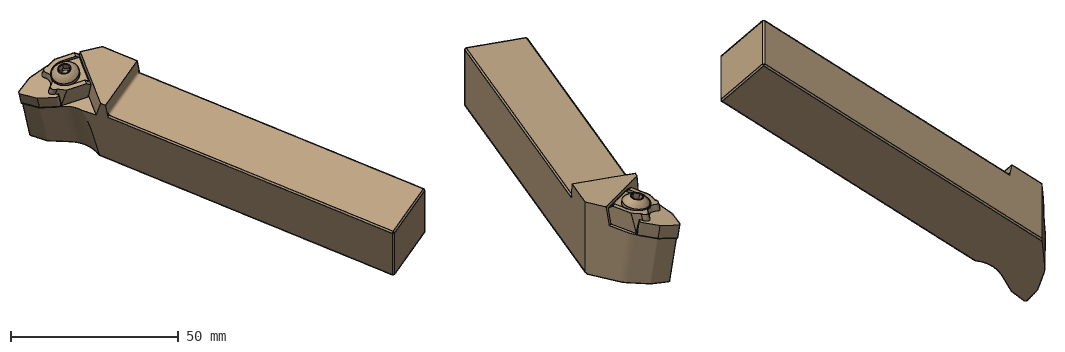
import cadquery as cq
import math

total_length = 124.9
shank_width = 20.0
shank_height = 20.0
shank_chamfer = 0.5
head_height = 24.5
head_length = 27.1
step_lean = 10.0
step_fillet = 1.0

inscribed_radius = 4.7
insert_thickness = 4.7
nose_half_angle = 40.0
nose_radius = 0.7
bend_half_turn = 10.0
nose_sine = math.sin(math.radians(nose_half_angle))
tip_reach = inscribed_radius / nose_sine
bend_reach = inscribed_radius / math.cos(math.radians(bend_half_turn))

rake = 6.0
seat_height = 16.5
nose_overhang = 4.9
rake_slope = math.tan(math.radians(rake))
directions = cq.Plane(origin=(0, 0, 0), xDir=(1, -1, 0), normal=(-rake_slope, -rake_slope, 1))
nose_centre = directions.toWorldCoords((0, nose_radius / nose_sine - tip_reach, insert_thickness))
nose_spread = nose_radius * math.hypot(directions.xDir.x, directions.yDir.x)
seat = cq.Plane(
    origin=(nose_spread - nose_centre.x, nose_spread - nose_centre.y - nose_overhang, seat_height),
    xDir=directions.xDir,
    normal=directions.zDir,
)
side_plane = cq.Plane(origin=seat.origin, xDir=seat.yDir, normal=seat.xDir)
wall_start = 12.6
wall_lean = 18.4
far = 187.4

support_inset = 0.2
bend_radius = 1.0
flank_angle = 2 * bend_half_turn
clamp_half_width = 6.4
left_side = 6.7
left_blend_radius = 6.2
relief_radius = 10.0
relief_turn = 80.0
nose_block_length = 17.5

clamp_top = 6.7
clamp_gap = 0.5
heel_front = 4.0
heel_back_bottom = 12.4
heel_back_top = 14.0
heel_back_height = 5.5
top_back = 12.7
outline_lean = 23.7
lobe_radius = 1.4
notch_radius = 3.5
notch_bottom = 3.5
cheek_front = 3.6
cheek_back = 6.0
recess_half_width = 4.9
recess_tilt = 2.4
recess_length = 8.1
recess_centre = 8.4
recess_depth = 0.7

screw_y = 8.0
screw_head_radius = 4.2
screw_top_radius = 2.0
screw_rim = 7.0
screw_top = 8.9
shaft_radius = 2.44
shaft_depth = 2.5
socket_width = 3.2
socket_depth = 2.0
socket_point_radius = 1.1
socket_point_depth = 0.5


def polar(radius, degrees):
    angle = math.radians(degrees)
    return (radius * math.cos(angle), radius * math.sin(angle))


def round_corner(prism, corner, radius):
    """Round the prism edge that runs along the seat normal through a corner of its outline."""
    picked = seat.toWorldCoords((*corner, 0))
    along_normal = prism.edges(cq.selectors.ParallelDirSelector(seat.zDir))
    return along_normal.edges(cq.selectors.NearestToPointSelector(picked.toTuple())).fillet(radius)


def make_insert():
    """Trigon plate: three rounded tips with a shallow bend between each pair."""
    tips = [polar(tip_reach, angle) for angle in (-90, 30, 150)]
    bends = [polar(bend_reach, angle) for angle in (-30, 90, 210)]
    outline = [point for pair in zip(tips, bends) for point in pair]
    plate = cq.Workplane(seat).polyline(outline).close().extrude(insert_thickness)
    for tip in tips:
        plate = round_corner(plate, tip, nose_radius)
    return plate


def make_shank_and_head():
    """Chamfered shank, taller head with a filleted step, and a block that holds the nose support."""
    shank = cq.Workplane().box(total_length, shank_width, shank_height, centered=False)
    shank = shank.edges("|X or >X").chamfer(shank_chamfer)

    lean = math.radians(step_lean)
    step_foot = head_length + (head_height - shank_height) * math.tan(lean)
    head = (
        cq.Workplane("XZ")
        .polyline([
            (0, shank_chamfer), (0, head_height), (head_length, head_height),
            (step_foot, shank_height), (step_foot, shank_height / 2), (step_foot / 2, shank_chamfer),
        ])
        .close()
        .extrude(-shank_width)
    )

    setback = step_fillet * math.tan((math.pi / 2 - lean) / 2)
    fillet_top = (step_foot - setback * math.sin(lean), shank_height + setback * math.cos(lean))
    fillet = (
        cq.Workplane("XZ", origin=(0, shank_chamfer, 0))
        .moveTo(step_foot, shank_height - shank_chamfer)
        .lineTo(step_foot - setback, shank_height)
        .lineTo(*fillet_top)
        .radiusArc((step_foot + setback, shank_height), -step_fillet)
        .lineTo(step_foot + setback, shank_height - shank_chamfer)
        .close()
        .extrude(-(shank_width - 2 * shank_chamfer))
    )
    nose_block = cq.Workplane().box(nose_block_length, shank_width, head_height, centered=False)
    nose_block = nose_block.translate((0, -shank_width / 2, 0))
    return shank.union(head).union(fillet).union(nose_block)


def make_side_envelope():
    """Prism along the seat normal that trims the head to the support, its relief and slanted side."""
    support_scale = 1 - support_inset / inscribed_radius
    front_tip = polar(support_scale * tip_reach, -90)
    right_bend = polar(support_scale * bend_reach, -30)
    left_bend = polar(support_scale * bend_reach, 210)
    flank_slope = math.tan(math.radians(flank_angle))
    relief_start = (
        clamp_half_width,
        right_bend[1] + (clamp_half_width - right_bend[0]) / flank_slope,
    )
    left_corner = (-left_side, left_bend[1] + (left_side + left_bend[0]) / flank_slope)
    centre_step = polar(relief_radius, -flank_angle)
    relief_centre = (relief_start[0] + centre_step[0], relief_start[1] + centre_step[1])

    def on_relief(turn):
        step = polar(relief_radius, 180 - flank_angle - turn)
        return (relief_centre[0] + step[0], relief_centre[1] + step[1])

    relief_end = on_relief(relief_turn)
    envelope = (
        cq.Workplane(seat)
        .moveTo(*front_tip)
        .lineTo(*right_bend)
        .lineTo(*relief_start)
        .threePointArc(on_relief(relief_turn / 2), relief_end)
        .lineTo(far, relief_end[1])
        .lineTo(far, far)
        .lineTo(-left_side, far)
        .lineTo(*left_corner)
        .lineTo(*left_bend)
        .close()
        .extrude(far / 2, both=True)
    )
    for corner, radius in (
        (front_tip, nose_radius),
        (right_bend, bend_radius),
        (left_bend, bend_radius),
        (left_corner, left_blend_radius),
    ):
        envelope = round_corner(envelope, corner, radius)
    return envelope


def make_seat_cutter():
    """Space above the seat floor and in front of the leaning wall."""
    height = head_height
    wall_top = wall_start + height * math.tan(math.radians(wall_lean))
    return (
        cq.Workplane(side_plane)
        .polyline([(-far, 0), (wall_start, 0), (wall_top, height), (-far, height)])
        .close()
        .extrude(far / 2, both=True)
    )


def make_clamp_profile():
    """Side profile of the clamp: a jaw over the insert and a heel down to just above the seat."""
    return (
        cq.Workplane(side_plane)
        .polyline([
            (0, insert_thickness), (heel_front, insert_thickness), (heel_front, clamp_gap),
            (heel_back_bottom, clamp_gap), (heel_back_top, heel_back_height),
            (top_back, clamp_top), (0, clamp_top),
        ])
        .close()
        .extrude(clamp_half_width, both=True)
    )


def make_clamp_outline():
    """Plan of the clamp: two round lobes with a round notch between them, widened by the cheeks."""
    notch_y = notch_bottom - notch_radius
    joint_slant = math.sqrt(0.5)
    joint = (joint_slant * notch_radius, notch_y + joint_slant * notch_radius)
    lobe_offset = joint_slant * (notch_radius + lobe_radius)
    lobe_y = notch_y + lobe_offset
    lobe_front = lobe_y - lobe_radius
    lobe_side = lobe_offset + lobe_radius
    leaning_plane = cq.Plane(
        origin=seat.toWorldCoords((0, 0, clamp_top)), xDir=seat.xDir, normal=seat.zDir
    ).rotated((-outline_lean, 0, 0))
    return (
        cq.Workplane(leaning_plane)
        .moveTo(-clamp_half_width, far)
        .lineTo(-clamp_half_width, cheek_back)
        .lineTo(-lobe_side, cheek_front)
        .lineTo(-lobe_side, lobe_y)
        .threePointArc((-lobe_offset, lobe_front), (-joint[0], joint[1]))
        .threePointArc((0, notch_bottom), joint)
        .threePointArc((lobe_offset, lobe_front), (lobe_side, lobe_y))
        .lineTo(lobe_side, cheek_front)
        .lineTo(clamp_half_width, cheek_back)
        .lineTo(clamp_half_width, far)
        .close()
        .extrude(far, both=True)
    )


def make_recess():
    """Round-ended slot in the clamp top, sinking towards the wall, in which the screw head sits."""
    floor = cq.Plane(
        origin=seat.toWorldCoords((0, recess_centre, clamp_top - recess_depth)),
        xDir=seat.xDir,
        normal=seat.zDir,
    ).rotated((-recess_tilt, 0, 0))
    slot = cq.Workplane(floor).circle(recess_half_width).extrude(clamp_top)
    tail = cq.Workplane(floor).center(0, recess_length / 2).rect(2 * recess_half_width, recess_length)
    return slot.union(tail.extrude(clamp_top))


def make_screw():
    """Button-head screw with a pointed hexagon socket; its shaft reaches into the seat floor."""
    dome_centre = (
        (screw_top_radius**2 + screw_top**2) - (screw_head_radius**2 + screw_rim**2)
    ) / (2 * (screw_top - screw_rim))
    dome_radius = math.hypot(screw_head_radius, screw_rim - dome_centre)
    middle_radius = (screw_head_radius + screw_top_radius) / 2
    middle_height = dome_centre + math.sqrt(dome_radius**2 - middle_radius**2)
    head_base = clamp_top - 2 * recess_depth
    axis_plane = cq.Plane(
        origin=seat.toWorldCoords((0, screw_y, 0)), xDir=seat.xDir, normal=-seat.yDir
    )
    screw = (
        cq.Workplane(axis_plane)
        .moveTo(0, -shaft_depth)
        .lineTo(shaft_radius, -shaft_depth)
        .lineTo(shaft_radius, head_base)
        .lineTo(screw_head_radius, head_base)
        .lineTo(screw_head_radius, screw_rim)
        .threePointArc((middle_radius, middle_height), (screw_top_radius, screw_top))
        .lineTo(0, screw_top)
        .close()
        .revolve(360, (0, 0), (0, 1))
    )
    corner_radius = socket_width / math.sqrt(3)
    socket_floor = screw_top - socket_depth
    point = (
        cq.Workplane(axis_plane)
        .polyline([
            (0, socket_floor), (socket_point_radius, socket_floor), (0, socket_floor - socket_point_depth),
        ])
        .close()
        .revolve(360, (0, 0), (0, 1))
    )
    hexagon = (
        cq.Workplane(seat)
        .workplane(offset=socket_floor)
        .center(0, screw_y)
        .polygon(6, 2 * corner_radius)
        .extrude(socket_depth)
    )
    return screw.cut(hexagon).cut(point)


def make_holder(insert):
    """Holder with its clamp and screw, which hold the insert in a matching recess."""
    body = make_shank_and_head().intersect(make_side_envelope()).cut(make_seat_cutter())
    clamp = make_clamp_profile().intersect(make_clamp_outline()).cut(make_recess()).cut(insert)
    return body.union(clamp).union(make_screw())


insert = make_insert()
holder = make_holder(insert)

result = cq.Compound.makeCompound([holder.val(), insert.val()])